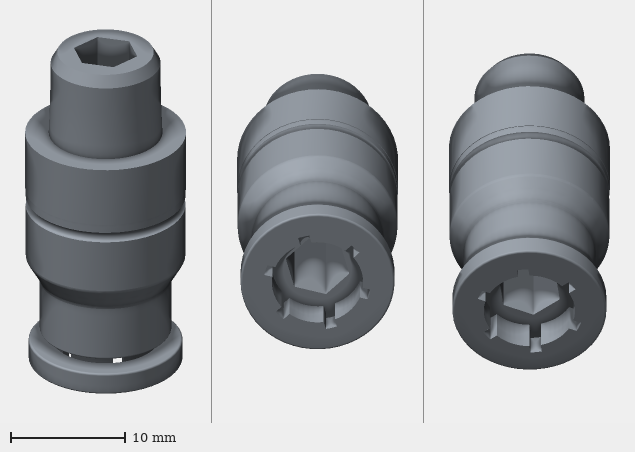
import cadquery as cq
import math

flange_top = 2.0
body_bottom = 2.95
cone_bottom = 8.12
step_height = 17.0
shoulder_height = 22.45
neck_edge_height = 29.37
total_height = 30.4

flange_diameter = 13.5
tube_diameter = 9.42
tube_bore_diameter = 8.0
lower_body_diameter = 11.55
upper_body_diameter = 14.0
collar_diameter = 14.1
neck_base_diameter = 9.97
neck_edge_diameter = 9.65

slope = math.tan(math.radians(30))
cone_top = cone_bottom + (upper_body_diameter - lower_body_diameter) / 2 / slope
neck_tip_diameter = neck_edge_diameter - 2 * (total_height - neck_edge_height) * slope

cone_round = 0.6
edge_round = 0.18

groove_center_height = 15.72
groove_width = 0.95
groove_depth = 0.4

slot_count = 6
slot_width = 1.0

hex_across_flats = 5.0


def cylinder(diameter, bottom, top):
    return cq.Workplane("XY").workplane(offset=bottom).circle(diameter / 2).extrude(top - bottom)


def make_flange():
    """Rounded disc whose bore fits around the slotted tube."""
    flange = cylinder(flange_diameter, 0, flange_top)
    flange = flange.faces("<Z or >Z").edges().fillet(edge_round)
    return flange.cut(cylinder(tube_diameter, 0, flange_top))


def make_slotted_tube():
    """Tube from the underside up to the body, with radial slots that start on the Y axis."""
    tube = cylinder(tube_diameter, 0, body_bottom)
    slot = cq.Workplane("XY").box(slot_width, tube_diameter / 2, body_bottom, centered=(True, False, False))
    for index in range(slot_count):
        tube = tube.cut(slot.rotate((0, 0, 0), (0, 0, 1), index * 360 / slot_count))
    return tube


def make_body():
    """Stepped body with a cone, revolved about Z, then rounded at the cone and lower edge."""
    body = (
        cq.Workplane("XZ")
        .moveTo(0, body_bottom)
        .lineTo(lower_body_diameter / 2, body_bottom)
        .lineTo(lower_body_diameter / 2, cone_bottom)
        .lineTo(upper_body_diameter / 2, cone_top)
        .lineTo(upper_body_diameter / 2, step_height)
        .lineTo(collar_diameter / 2, step_height)
        .lineTo(collar_diameter / 2, shoulder_height)
        .lineTo(0, shoulder_height)
        .close()
        .revolve(360, (0, 0), (0, 1))
    )
    selection_margin = 0.3
    cone_edges = cq.selectors.BoxSelector(
        (-collar_diameter, -collar_diameter, cone_bottom - selection_margin),
        (collar_diameter, collar_diameter, cone_top + selection_margin),
    )
    body = body.edges("%CIRCLE").edges(cone_edges).fillet(cone_round)
    return body.faces("<Z").edges().fillet(edge_round)


def make_groove():
    """Ring with an arc-shaped inner side, to be cut from the upper body."""
    body_radius = upper_body_diameter / 2
    groove_bottom = groove_center_height - groove_width / 2
    groove_top = groove_center_height + groove_width / 2
    return (
        cq.Workplane("XZ")
        .moveTo(body_radius, groove_bottom)
        .threePointArc(
            (body_radius - groove_depth, groove_center_height),
            (body_radius, groove_top),
        )
        .close()
        .revolve(360, (0, 0), (0, 1))
    )


def make_neck():
    """Neck that flares gently toward the shoulder and ends in a chamfered tip."""
    edge_radius = neck_edge_diameter / 2
    base_radius = neck_base_diameter / 2
    flare_middle_radius = edge_radius + (base_radius - edge_radius) / 4
    flare_middle_height = (shoulder_height + neck_edge_height) / 2
    return (
        cq.Workplane("XZ")
        .moveTo(0, shoulder_height)
        .lineTo(base_radius, shoulder_height)
        .threePointArc((flare_middle_radius, flare_middle_height), (edge_radius, neck_edge_height))
        .lineTo(neck_tip_diameter / 2, total_height)
        .lineTo(0, total_height)
        .close()
        .revolve(360, (0, 0), (0, 1))
    )


def make_hex_hole():
    """Hexagonal through hole with two corners on the Y axis."""
    across_corners = hex_across_flats / math.cos(math.radians(30))
    hexagon = cq.Workplane("XY").polygon(6, across_corners).extrude(total_height)
    return hexagon.rotate((0, 0, 0), (0, 0, 1), 30)


tube_bore = cylinder(tube_bore_diameter, 0, body_bottom)

result = (
    make_body()
    .cut(make_groove())
    .union(make_neck())
    .union(make_slotted_tube())
    .union(make_flange())
    .cut(tube_bore)
    .cut(make_hex_hole())
)